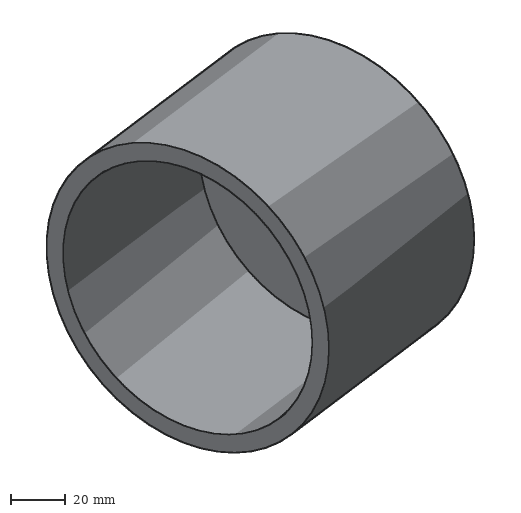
import cadquery as cq
import math

outer_diameter = 125.0
wall = 7.4
total_length = 100.2
dome_height = 7.1

outer_radius = outer_diameter / 2
inner_radius = outer_radius - wall

dome_radius = (outer_radius**2 + dome_height**2) / (2 * dome_height)
dome_center = total_length - dome_radius
inner_dome_radius = dome_radius - wall


def domed_cylinder(radius, sphere_radius):
    """Solid cylinder along +Y from Y = 0, ending in a spherical dome."""

    def dome_y(x):
        return dome_center + math.sqrt(sphere_radius**2 - x**2)

    return (
        cq.Workplane("XY")
        .lineTo(radius, 0)
        .lineTo(radius, dome_y(radius))
        .threePointArc((radius / 2, dome_y(radius / 2)), (0, dome_y(0)))
        .close()
        .revolve(360, (0, 0, 0), (0, 1, 0))
    )


body = domed_cylinder(outer_radius, dome_radius)
cavity = domed_cylinder(inner_radius, inner_dome_radius)
result = body.cut(cavity)